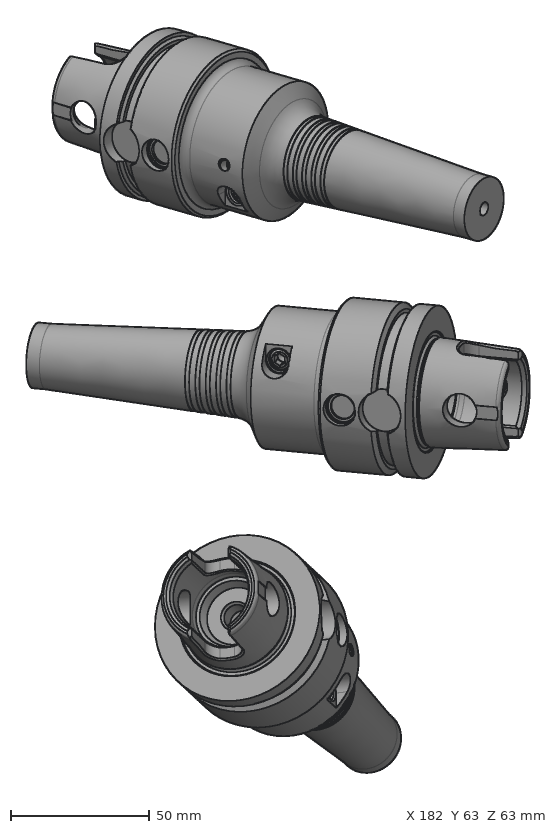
import cadquery as cq
import math


SHANK_LENGTH = 32.0
SHANK_BASE_RADIUS = 20.15
SHANK_SLOPE = 0.05
SHANK_END_RADIUS = 17.4
SHANK_ROUND_LENGTH = 1.8
SHANK_ROUND_BULGE = 0.25
UNDERCUT_LENGTH = 1.8
UNDERCUT_RADIUS = 19.5
UNDERCUT_LEAD = 0.6
FACE_RECESS_DEPTH = 0.4
FACE_RECESS_INNER_RADIUS = 20.5
FACE_RECESS_OUTER_RADIUS = 22.2

FLANGE_RADIUS = 31.5
FLANGE_END = 33.2
FLANGE_CHAMFER = 0.9
GROOVE_LEFT = 6.8
GROOVE_FLOOR_LEFT = 7.9
GROOVE_FLOOR_RIGHT = 12.0
GROOVE_RIGHT = 13.2
GROOVE_FLOOR_RADIUS = 27.8
GROOVE_LEFT_STEP_RADIUS = 30.2
GROOVE_SHOULDER_RADIUS = 29.2

BODY_RADIUS = 26.1
BODY_END = 60.3
BODY_FILLET = 3.5
BODY_FILLET_RISE = 2.1
NECK_CONE_ANGLE = math.radians(58.0)
NECK_ARC_RADIUS = 10.0
NOSE_END = 150.0
NOSE_TIP_RADIUS = 12.0
NOSE_TIP_LENGTH = 5.0
NOSE_TAPER = math.radians(3.0)

RING_COUNT = 5
RING_PITCH = 4.0
RING_WIDTH = 1.6
RING_DEPTH = 0.25
RING_START = 71.2

MOUTH_RADIUS = 16.4
MOUTH_LIP_RADIUS = 15.2
MOUTH_LIP_DEPTH = 0.5
MOUTH_DEPTH = 2.2
ENTRY_BORE_RADIUS = 14.4
ENTRY_BORE_END = -8.3
BORE_RADIUS = 13.9
BORE_START = -6.5
BORE_END = -5.5
STEP_RADIUS = 12.5
FLOOR_RADIUS = 10.8
FLOOR_X = -2.2
PORT_MOUTH_DIAMETER = 11.0
PORT_DIAMETER = 9.2
PORT_DEPTH = 8.0
DRILL_POINT = math.radians(59.0)
THROUGH_DIAMETER = 5.0

SLOT_WIDTH = 14.0
SLOT_END = -11.5
SLOT_CORNER = 4.3
SLOT_ENTRY_CHAMFER = 1.2
SLOT_OUTER_CHAMFER = 0.65
SLOT_INNER_CHAMFER = 0.5
TOLERANCE = 0.01
BALL_HOLE_DIAMETER = 12.5
BALL_HOLE_X = -16.8
RAMP_WIDTH = 5.0
RAMP_FLOOR = 18.45
BALL_SEAT_TILT = math.radians(30.0)
BALL_SEAT_DIAMETER = 12.0
BALL_SEAT_Y = 15.5
BALL_SEAT_DEPTH = 5.0

NOTCH_DIAMETER = 16.0
NOTCH_X = 9.7
NOTCH_FLOOR = 26.4
SIDE_HOLE_X = 25.0
SIDE_HOLE_DIAMETER = 12.0
SIDE_HOLE_STEP_DIAMETER = 11.0
SIDE_HOLE_INNER_DIAMETER = 9.0
SIDE_HOLE_MOUTH_END = 28.5
SIDE_HOLE_STEP = 27.5
SIDE_HOLE_FLOOR = 26.5

SCREW_X = 52.0
POCKET_DIAMETER = 10.0
POCKET_FLOOR = 18.5
POCKET_Z = -12.6
POCKET_COUNTERSINK_DIAMETER = 9.2
POCKET_SCREW_DIAMETER = 8.0
POCKET_SCREW_HEX = 4.0
POCKET_SCREW_RECESS = 1.0
SMALL_HOLE_Z = 1.1
SMALL_HOLE_TILT = 15.0
SMALL_COUNTERSINK_DIAMETER = 5.0
SMALL_SCREW_DIAMETER = 4.0
SMALL_SCREW_HEX = 2.0
SMALL_SCREW_RECESS = 4.0
SCREW_TOP_RATIO = 0.74


def shank_radius(x):
    """Taper radius at x, measured from the flange face."""
    return SHANK_BASE_RADIUS + SHANK_SLOPE * x


def nose_radius(x):
    """Radius of the tapered nose at x."""
    return NOSE_TIP_RADIUS + (NOSE_END - NOSE_TIP_LENGTH - x) * math.tan(NOSE_TAPER)


def cylinder_y(diameter, x, z, y_start, y_end):
    """Round bar along Y."""
    bar = cq.Solid.makeCylinder(
        diameter / 2, y_end - y_start, cq.Vector(x, y_start, z), cq.Vector(0, 1, 0)
    )
    return cq.Workplane(bar)


def both_sides(tool):
    """The tool and its copy turned half a revolution about the part axis."""
    return tool.union(tool.rotate((0, 0, 0), (1, 0, 0), 180))


def outer_body():
    """Solid of revolution of the whole outer outline."""
    round_start = -SHANK_LENGTH + SHANK_ROUND_LENGTH
    round_middle = (
        -SHANK_LENGTH + SHANK_ROUND_LENGTH / 2 - SHANK_ROUND_BULGE,
        (SHANK_END_RADIUS + shank_radius(round_start)) / 2 + SHANK_ROUND_BULGE,
    )
    fillet_run = math.sqrt(BODY_FILLET**2 - (BODY_FILLET - BODY_FILLET_RISE) ** 2)
    neck_slope = math.tan(NECK_CONE_ANGLE)
    corner_x = BODY_END + (BODY_RADIUS - nose_radius(BODY_END)) / (neck_slope - math.tan(NOSE_TAPER))
    corner_radius = nose_radius(corner_x)
    tangent = NECK_ARC_RADIUS * math.tan((NECK_CONE_ANGLE - NOSE_TAPER) / 2)
    cone_end = corner_x - tangent * math.cos(NECK_CONE_ANGLE)
    cone_end_radius = corner_radius + tangent * math.sin(NECK_CONE_ANGLE)
    nose_start = corner_x + tangent * math.cos(NOSE_TAPER)
    tip_start = NOSE_END - NOSE_TIP_LENGTH
    profile = (
        cq.Workplane("XY")
        .moveTo(-SHANK_LENGTH, 0)
        .lineTo(-SHANK_LENGTH, SHANK_END_RADIUS)
        .threePointArc(round_middle, (round_start, shank_radius(round_start)))
        .lineTo(-UNDERCUT_LENGTH, shank_radius(-UNDERCUT_LENGTH))
        .lineTo(-UNDERCUT_LENGTH + UNDERCUT_LEAD, UNDERCUT_RADIUS)
        .lineTo(-UNDERCUT_LEAD, UNDERCUT_RADIUS)
        .lineTo(FACE_RECESS_DEPTH, FACE_RECESS_INNER_RADIUS)
        .lineTo(FACE_RECESS_DEPTH, FACE_RECESS_OUTER_RADIUS - FACE_RECESS_DEPTH)
        .lineTo(0, FACE_RECESS_OUTER_RADIUS)
        .lineTo(0, FLANGE_RADIUS)
        .lineTo(GROOVE_LEFT, FLANGE_RADIUS)
        .lineTo(GROOVE_LEFT, GROOVE_LEFT_STEP_RADIUS)
        .lineTo(GROOVE_FLOOR_LEFT, GROOVE_SHOULDER_RADIUS)
        .lineTo(GROOVE_FLOOR_LEFT, GROOVE_FLOOR_RADIUS)
        .lineTo(GROOVE_FLOOR_RIGHT, GROOVE_FLOOR_RADIUS)
        .lineTo(GROOVE_FLOOR_RIGHT, GROOVE_SHOULDER_RADIUS)
        .lineTo(GROOVE_RIGHT, FLANGE_RADIUS)
        .lineTo(FLANGE_END - FLANGE_CHAMFER, FLANGE_RADIUS)
        .lineTo(FLANGE_END, FLANGE_RADIUS - FLANGE_CHAMFER)
        .lineTo(FLANGE_END, BODY_RADIUS + BODY_FILLET_RISE)
        .radiusArc((FLANGE_END + fillet_run, BODY_RADIUS), -BODY_FILLET)
        .lineTo(BODY_END, BODY_RADIUS)
        .lineTo(cone_end, cone_end_radius)
        .radiusArc((nose_start, nose_radius(nose_start)), -NECK_ARC_RADIUS)
        .lineTo(tip_start, NOSE_TIP_RADIUS)
        .lineTo(NOSE_END, NOSE_TIP_RADIUS)
        .lineTo(NOSE_END, 0)
        .close()
    )
    return profile.revolve(360, (0, 0, 0), (1, 0, 0))


def ring_grooves():
    """Shallow, evenly spaced grooves around the nose."""
    rings = cq.Workplane("XY")
    for i in range(RING_COUNT):
        start = RING_START + i * RING_PITCH
        end = start + RING_WIDTH
        ring = (
            cq.Workplane("XY")
            .moveTo(start, nose_radius(start) - RING_DEPTH)
            .lineTo(start, nose_radius(start) + RING_DEPTH)
            .lineTo(end, nose_radius(end) + RING_DEPTH)
            .lineTo(end, nose_radius(end) - RING_DEPTH)
            .close()
            .revolve(360, (0, 0, 0), (1, 0, 0))
        )
        rings = rings.add(ring)
    return rings.combine()


def bore():
    """Stepped shank bore, countersunk port and through hole along the axis."""
    port_chamfer = (PORT_MOUTH_DIAMETER - PORT_DIAMETER) / 2
    point_length = (PORT_DIAMETER - THROUGH_DIAMETER) / 2 / math.tan(DRILL_POINT)
    outline = [
        (-SHANK_LENGTH, 0),
        (-SHANK_LENGTH, MOUTH_RADIUS),
        (-SHANK_LENGTH + MOUTH_LIP_DEPTH, MOUTH_LIP_RADIUS),
        (-SHANK_LENGTH + MOUTH_DEPTH, ENTRY_BORE_RADIUS),
        (ENTRY_BORE_END, ENTRY_BORE_RADIUS),
        (BORE_START, BORE_RADIUS),
        (BORE_END, BORE_RADIUS),
        (BORE_END, STEP_RADIUS),
        (FLOOR_X, FLOOR_RADIUS),
        (FLOOR_X, PORT_MOUTH_DIAMETER / 2),
        (FLOOR_X + port_chamfer, PORT_DIAMETER / 2),
        (FLOOR_X + PORT_DEPTH, PORT_DIAMETER / 2),
        (FLOOR_X + PORT_DEPTH + point_length, THROUGH_DIAMETER / 2),
        (NOSE_END, THROUGH_DIAMETER / 2),
        (NOSE_END, 0),
    ]
    return cq.Workplane("XY").polyline(outline).close().revolve(360, (0, 0, 0), (1, 0, 0))


def drive_slot():
    """Slot across the shank end, open along Z, with rounded inner corners."""
    return (
        cq.Workplane("XY")
        .box(SLOT_END + SHANK_LENGTH, SLOT_WIDTH, 2 * FLANGE_RADIUS, centered=(False, True, True))
        .edges("|Z and >X")
        .fillet(SLOT_CORNER)
        .translate((-SHANK_LENGTH, 0, 0))
    )


def slot_entry():
    """Bevels that widen the slot mouth at the shank end."""
    half_width = SLOT_WIDTH / 2
    outline = [
        (-SHANK_LENGTH, -half_width - SLOT_ENTRY_CHAMFER),
        (-SHANK_LENGTH, half_width + SLOT_ENTRY_CHAMFER),
        (-SHANK_LENGTH + SLOT_ENTRY_CHAMFER, half_width),
        (-SHANK_LENGTH + SLOT_ENTRY_CHAMFER, -half_width),
    ]
    return cq.Workplane("XY").polyline(outline).close().extrude(FLANGE_RADIUS, both=True)


def chamfer_slot_edges(body, inner_radius, outer_radius, width):
    """Chamfer the slot edges whose distance from the axis lies between the two radii."""
    half_width = SLOT_WIDTH / 2
    selected = []
    for edge in body.edges().vals():
        box = edge.BoundingBox()
        center = edge.positionAt(0.5)
        radius = math.hypot(center.y, center.z)
        in_slot = box.xmax < SLOT_END + TOLERANCE and box.xmin > -SHANK_LENGTH + SLOT_ENTRY_CHAMFER
        in_width = abs(center.y) < half_width + TOLERANCE
        runs_along_slot = box.zlen < max(box.xlen, box.ylen)
        if in_slot and in_width and runs_along_slot and inner_radius < radius < outer_radius:
            selected.append(edge)
    return body.newObject(selected).chamfer(width)


def ball_holes():
    """Cross hole with a shallow ramp and an inclined inner ball seat on each side."""
    hole = cylinder_y(BALL_HOLE_DIAMETER, BALL_HOLE_X, 0, -FLANGE_RADIUS, FLANGE_RADIUS)
    ramp = cq.Workplane("XY").box(
        BALL_HOLE_X + SHANK_LENGTH,
        FLANGE_RADIUS - RAMP_FLOOR,
        RAMP_WIDTH,
        centered=(False, False, True),
    ).translate((-SHANK_LENGTH, RAMP_FLOOR, 0))
    seat = cq.Workplane(
        cq.Solid.makeCylinder(
            BALL_SEAT_DIAMETER / 2,
            BALL_SEAT_DEPTH,
            cq.Vector(BALL_HOLE_X, BALL_SEAT_Y, 0),
            cq.Vector(-math.sin(BALL_SEAT_TILT), -math.cos(BALL_SEAT_TILT), 0),
        )
    )
    return hole.union(both_sides(ramp.union(seat)))


def flange_side_cuts():
    """Round flat-bottomed notches and stepped blind holes on both sides of the flange."""
    notch = cylinder_y(NOTCH_DIAMETER, NOTCH_X, 0, -FLANGE_RADIUS, -NOTCH_FLOOR)
    hole = cylinder_y(SIDE_HOLE_DIAMETER, SIDE_HOLE_X, 0, -FLANGE_RADIUS, -SIDE_HOLE_MOUTH_END)
    hole = hole.union(
        cylinder_y(SIDE_HOLE_STEP_DIAMETER, SIDE_HOLE_X, 0, -FLANGE_RADIUS, -SIDE_HOLE_STEP)
    )
    hole = hole.union(
        cylinder_y(SIDE_HOLE_INNER_DIAMETER, SIDE_HOLE_X, 0, -FLANGE_RADIUS, -SIDE_HOLE_FLOOR)
    )
    return both_sides(notch.union(hole))


def cone_y(start_diameter, end_diameter, z, y_start, y_end):
    """Cone on the screw position along +Y, from y_start to y_end."""
    cone = cq.Solid.makeCone(
        start_diameter / 2,
        end_diameter / 2,
        y_end - y_start,
        cq.Vector(SCREW_X, y_start, z),
        cq.Vector(0, 1, 0),
    )
    return cq.Workplane(cone)


def screw_hole(countersink_diameter, screw_diameter, hex_size, recess, z, mouth_y):
    """Countersunk hole running inwards from mouth_y, with a chamfered set screw sunk in it."""
    countersink_end = mouth_y + (countersink_diameter - screw_diameter) / 2
    top_diameter = SCREW_TOP_RATIO * screw_diameter
    head_y = mouth_y + recess
    base_y = head_y + (screw_diameter - top_diameter) / 2
    socket_end = head_y + hex_size
    point_end = socket_end + hex_size / 2 / math.tan(DRILL_POINT)

    mouth = cylinder_y(countersink_diameter, SCREW_X, z, -FLANGE_RADIUS, mouth_y)
    countersink = cone_y(countersink_diameter, screw_diameter, z, mouth_y, countersink_end)
    shaft = cylinder_y(screw_diameter, SCREW_X, z, mouth_y, base_y)
    head = cone_y(top_diameter, screw_diameter, z, head_y, base_y)
    socket = (
        cq.Workplane("XZ", origin=(SCREW_X, socket_end, z))
        .polygon(6, hex_size, circumscribed=True)
        .extrude(hex_size)
    )
    point = cone_y(hex_size, 0, z, socket_end, point_end)
    return mouth.union(countersink).union(shaft).cut(head).union(socket).union(point)


def screw_pocket():
    """Flat-floored pocket that runs out of the body side, with a set screw in its floor."""
    pocket = cylinder_y(POCKET_DIAMETER, SCREW_X, POCKET_Z, -BODY_RADIUS, -POCKET_FLOOR)
    runout = cq.Workplane("XY").box(
        POCKET_DIAMETER,
        BODY_RADIUS - POCKET_FLOOR,
        BODY_RADIUS + POCKET_Z,
        centered=(True, False, False),
    ).translate((SCREW_X, -BODY_RADIUS, -BODY_RADIUS))
    screw = screw_hole(
        POCKET_COUNTERSINK_DIAMETER,
        POCKET_SCREW_DIAMETER,
        POCKET_SCREW_HEX,
        POCKET_SCREW_RECESS,
        POCKET_Z,
        -POCKET_FLOOR,
    )
    return pocket.union(runout).union(screw)


def small_screw():
    """Small screw hole that slopes down towards the axis."""
    mouth_y = -math.sqrt(BODY_RADIUS**2 - SMALL_HOLE_Z**2)
    screw = screw_hole(
        SMALL_COUNTERSINK_DIAMETER,
        SMALL_SCREW_DIAMETER,
        SMALL_SCREW_HEX,
        SMALL_SCREW_RECESS,
        SMALL_HOLE_Z,
        mouth_y,
    )
    pivot_start = (0, mouth_y, SMALL_HOLE_Z)
    pivot_end = (1, mouth_y, SMALL_HOLE_Z)
    return screw.rotate(pivot_start, pivot_end, -SMALL_HOLE_TILT)


def slotted_shank():
    """Body with its bore and drive slots, the slot edges broken outside and inside."""
    body = outer_body().cut(ring_grooves()).cut(drive_slot())
    body = chamfer_slot_edges(body, MOUTH_RADIUS, FLANGE_RADIUS, SLOT_OUTER_CHAMFER)
    body = body.cut(bore())
    body = chamfer_slot_edges(body, 0, MOUTH_LIP_RADIUS, SLOT_INNER_CHAMFER)
    return body.cut(slot_entry())


result = (
    slotted_shank()
    .cut(ball_holes())
    .cut(flange_side_cuts())
    .cut(both_sides(screw_pocket()))
    .cut(small_screw())
)